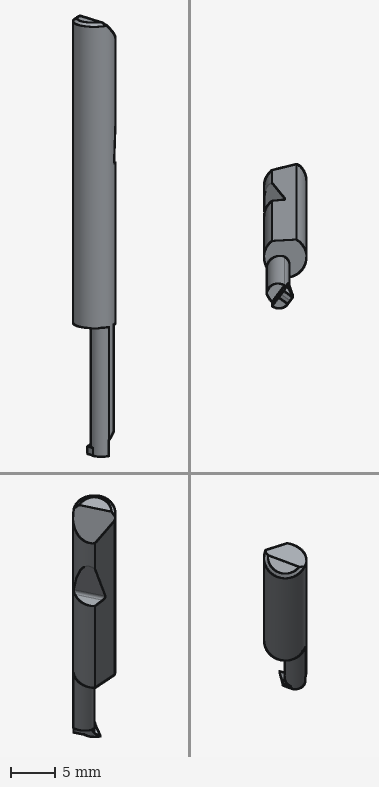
import cadquery as cq
import math

total_length = 50.8
shank_radius = 2.4
neck_length = 15.25
shank_length = total_length - neck_length
end_chamfer_width = 0.45
end_chamfer_height = 0.35
margin = 0.5

neck_radius = shank_radius / 2
neck_center_x = shank_radius - neck_radius
neck_bottom = 0.15

neck_back_radius = 1.5
neck_back_center_y = neck_radius - neck_back_radius

slope_start_y = -0.5

flat_start_angle = 106.0
flat_end_angle = 176.0

notch_top = 42.6
notch_bottom = 33.75
notch_floor_y = 1.1
notch_corner_z = 34.05
notch_corner_radius = 0.4

rake_y = 0.1
rake_top = 2.0
bevel_top = 2.95

tip_inner_x = 0.15
tip_right = 1.15
tip_front_top = 1.4
tip_back_top = 1.05
tip_back_bottom = 0.18
tip_back_y = -neck_radius
front_outline = [
    (-0.75, 0.6),
    (-0.1, 0.9),
    (tip_inner_x, tip_front_top),
    (tip_right, tip_front_top),
    (tip_right, neck_bottom),
    (0.65, 0),
    (tip_inner_x, 0),
    (-0.45, 0.33),
]
back_outline = [
    (tip_inner_x, 0.6),
    (tip_inner_x, 0.85),
    (0.2, tip_back_top),
    (tip_right, tip_back_top),
    (tip_right, tip_back_bottom),
    (0.7, tip_back_bottom),
    (0.25, tip_back_bottom),
    (tip_inner_x, 0.35),
]


def across_x(points):
    """Extrude a YZ outline through the full width of the shank."""
    half_width = shank_radius + margin
    return cq.Workplane("YZ").polyline(points).close().extrude(half_width, both=True)


def circle_point(angle, radius=shank_radius):
    angle = math.radians(angle)
    return (radius * math.cos(angle), radius * math.sin(angle))


def make_shank():
    shank = (
        cq.Workplane("XZ")
        .moveTo(0, neck_length)
        .lineTo(shank_radius, neck_length)
        .lineTo(shank_radius, total_length - end_chamfer_height)
        .lineTo(shank_radius - end_chamfer_width, total_length)
        .lineTo(0, total_length)
        .close()
        .revolve(360, (0, 0), (0, 1))
    )

    middle_angle = (flat_start_angle + flat_end_angle) / 2
    segment = (
        cq.Workplane("XY", origin=(0, 0, neck_length))
        .moveTo(*circle_point(flat_start_angle))
        .lineTo(*circle_point(flat_start_angle, shank_radius + margin))
        .lineTo(*circle_point(middle_angle, 2 * shank_radius))
        .lineTo(*circle_point(flat_end_angle, shank_radius + margin))
        .lineTo(*circle_point(flat_end_angle))
        .close()
        .extrude(shank_length)
    )

    outside_y = shank_radius + margin
    slope_drop = outside_y - slope_start_y
    end_slope = across_x([
        (slope_start_y, total_length),
        (outside_y, total_length),
        (outside_y, total_length - slope_drop),
    ])

    notch = across_x([
        (shank_radius, notch_top),
        (outside_y, notch_top),
        (outside_y, notch_bottom),
        (shank_radius, notch_bottom),
        (notch_floor_y, notch_corner_z),
    ])
    notch = notch.edges("|X").edges("<Y").fillet(notch_corner_radius)
    return shank.cut(segment).cut(end_slope).cut(notch)


def make_neck():
    height = neck_length - neck_bottom
    base = cq.Workplane("XY", origin=(0, 0, neck_bottom))
    behind_rake = across_x([
        (rake_y, 0),
        (shank_radius, 0),
        (shank_radius, neck_length),
        (rake_y, neck_length),
    ])
    edge_x = neck_center_x - math.sqrt(neck_radius**2 - rake_y**2)
    back_center_x = edge_x + math.sqrt(neck_back_radius**2 - (rake_y - neck_back_center_y)**2)
    front = base.center(neck_center_x, 0).circle(neck_radius).extrude(height).cut(behind_rake)
    back = (
        base.center(back_center_x, neck_back_center_y)
        .circle(neck_back_radius)
        .extrude(height)
        .intersect(behind_rake)
        .intersect(base.circle(shank_radius).extrude(height))
    )
    neck = front.union(back)
    above_rake = across_x([
        (rake_y, 0),
        (rake_y, rake_top),
        (neck_radius, bevel_top),
        (neck_radius + margin, bevel_top),
        (neck_radius + margin, 0),
    ])
    tip_seat = across_x([
        (rake_y, 0),
        (rake_y, tip_front_top),
        (tip_back_y, tip_back_top),
        (tip_back_y, 0),
    ])
    left_of_tip = (
        cq.Workplane("XY")
        .box(2 * shank_radius, 2 * shank_radius, neck_length, centered=(True, True, False))
        .translate((tip_right - shank_radius, 0, 0))
    )
    return neck.cut(above_rake).cut(tip_seat.intersect(left_of_tip))


def outline_wire(points, y):
    return cq.Wire.makePolygon([cq.Vector(x, y, z) for x, z in points], close=True)


def make_tip():
    """Cutting tip narrowing from the rake face toward -Y for clearance."""
    front = outline_wire(front_outline, rake_y)
    back = outline_wire(back_outline, tip_back_y)
    return cq.Workplane(cq.Solid.makeLoft([front, back], True))


result = make_shank().union(make_neck()).union(make_tip())